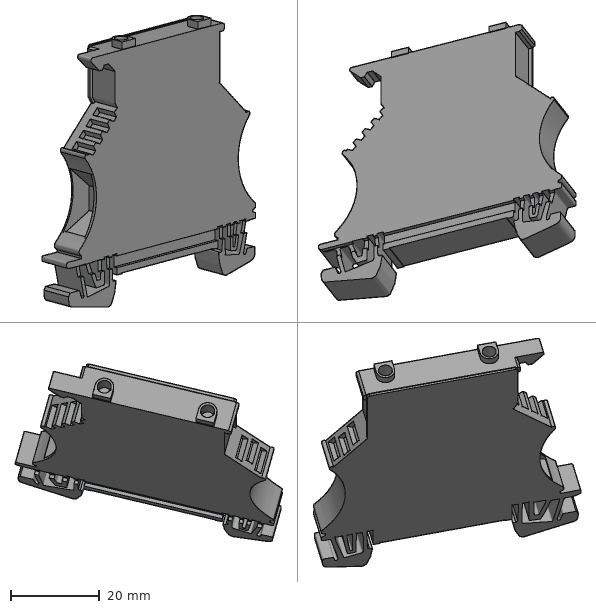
import cadquery as cq
import math


THICKNESS = 7.9
TOTAL_LENGTH = 60.0
TOTAL_HEIGHT = 60.94
SIDES = (1, -1)

COVER_THICKNESS = 0.7
COVER_HALF_WIDTH = 17.4
COVER_TOP = 59.4
TOP_CORNER = 0.5
CORE_INSET = 0.8
CORE_HALF_WIDTH = COVER_HALF_WIDTH - CORE_INSET
CORE_TOP = 59.2
SHOULDER_SUM = 61.95
SHOULDER_END = 25.2
FRONT_SHOULDER_START = 16.35
COVER_UNDERCUT_TOP = 47.4
CORE_UNDERCUT_TOP = 47.1
UNDERCUT_ROUNDING = 0.8
CORE_UNDERCUT_ROOT = (-15.8, 45.95)
BEAD_WIDTH = 0.9
BEAD_RISE = 0.25
BEAD_RADIUS = 0.53

LIP_HALF_WIDTH = 18.15
LIP_BOTTOM = 57.3
LIP_CHAMFER_Y = 0.6
LIP_CHAMFER_Z = 0.4

RECESS_RADIUS = 14.6
RECESS_DEEPEST = 22.5
RECESS_Z = 26.5
RECESS_DIAGONAL = RECESS_RADIUS * math.sqrt(0.5)
FLANK_FOOT_Y = RECESS_DEEPEST + RECESS_RADIUS - RECESS_DIAGONAL
FLANK_FOOT_Z = RECESS_Z - RECESS_DIAGONAL
FLANK_LIP_Y = 28.0
FLANK_LIP_ROUNDING = 0.6
FLANK_LIP_Z = FLANK_FOOT_Y + FLANK_FOOT_Z - FLANK_LIP_Y

BASE_HALF_WIDTH = 16.05
BASE_Z = 7.1
PAD_Z = 6.9
PAD_WIDTH = 1.6
CLIP_TIP_Z = -0.03
CLIP_ROOT_Z = 11.9

FACE_GROOVE_DEPTH = 0.9
FACE_GROOVE_BOTTOM = 8.65
FACE_GROOVE_TOP = 11.4

POST_Y = 12.0
POST_X = 5.2
POST_RADIUS = 2.1
POST_FLAT_X = 7.65
POST_HOLE_RADIUS = 1.55
POST_HOLE_DEPTH = 4.0

LEVER_X = 3.65
LEVER_OVERLAP = 1.0

GRIP_WIDTH = 2.0
GRIP_FLOOR = 1.2
GRIP_DEPTH = 1.35
GRIP_OVERCUT = 0.3
FRONT_GRIP_X = (2.5, THICKNESS)
FRONT_GRIP_FIRST_Z = 37.8
FRONT_GRIP_PITCH = 2.2
FRONT_GRIP_COUNT = 4
BACK_GRIPS = (
    (24.1, 1.35, 7.0),
    (21.95, 0.75, 6.1),
    (19.7, 1.35, 7.0),
)

POCKET_MOUTH_Y = -25.5
POCKET_BACK_Y = -17.4
POCKET_MOUTH_X = (0.45, 7.3)
POCKET_MOUTH_Z = (16.9, 33.55)
POCKET_BACK_X = (0.45, 6.7)
POCKET_BACK_Z = (20.8, 26.6)


def outline(points):
    """Closed YZ wire through (y, z) or (y, z, radius) corners; a radius rounds that corner."""
    path = []
    count = len(points)
    for i, corner in enumerate(points):
        here = cq.Vector(*corner[:2])
        if len(corner) == 2:
            path.append((here,))
            continue
        to_prev = (cq.Vector(*points[i - 1][:2]) - here).normalized()
        to_next = (cq.Vector(*points[(i + 1) % count][:2]) - here).normalized()
        half_angle = to_prev.getAngle(to_next) / 2
        radius = corner[2]
        setback = radius / math.tan(half_angle)
        bisector = (to_prev + to_next).normalized()
        middle = here + bisector * (radius / math.sin(half_angle) - radius)
        path.append((here + to_prev * setback, middle, here + to_next * setback))

    wire = cq.Workplane("YZ").moveTo(*path[0][-1].toTuple()[:2])
    for step in path[1:] + path[:1]:
        wire = wire.lineTo(*step[0].toTuple()[:2])
        if len(step) == 3:
            wire = wire.threePointArc(step[1].toTuple()[:2], step[2].toTuple()[:2])
    return wire.close()


def slab(points, x_start=0.0, x_end=THICKNESS):
    """Extrude an outline from x_start to x_end."""
    return outline(points).extrude(x_end - x_start).translate((x_start, 0, 0))


def box(x_range, y_range, z_range):
    """Axis-aligned box from three (low, high) ranges."""
    sizes = [high - low for low, high in (x_range, y_range, z_range)]
    corner = (x_range[0], y_range[0], z_range[0])
    return cq.Workplane("XY").box(*sizes, centered=False).translate(corner)


def bead_and_flank(side):
    """Shoulder end bead, flank and lower flank slope, listed downwards."""
    bead_z = SHOULDER_SUM - SHOULDER_END
    return [
        (side * SHOULDER_END, bead_z),
        (side * (SHOULDER_END + BEAD_RISE), bead_z + BEAD_RISE, BEAD_RADIUS / 2),
        (side * (SHOULDER_END + BEAD_WIDTH), bead_z + BEAD_RISE, BEAD_RADIUS),
        (side * FLANK_FOOT_Y, FLANK_FOOT_Z),
        (side * FLANK_LIP_Y, FLANK_LIP_Z, FLANK_LIP_ROUNDING),
    ]


def back_clip():
    """Outer edge of the +Y side from the flank lip down round the clip to the base."""
    return [
        (FLANK_LIP_Y, 14.1, 0.4), (27.1, 13.6), (27.1, 13.2),
        (FLANK_LIP_Y, 12.8, 0.2), (FLANK_LIP_Y, 11.5, 0.4), (25.9, 11.5, 0.5),
        (24.2, 4.4), (24.2, 3.7, 0.3), (24.9, 3.8, 0.3), (25.25, 5.0, 0.1),
        (27.75, 5.0, 0.4), (27.75, 2.3, 1.5), (26.1, 1.75), (18.5, CLIP_TIP_Z, 0.6),
        (17.6, 0.5, 0.5), (16.65, 2.9, 2.0), (16.2, 5.7, 0.1), (16.9, 5.7),
        (17.35, 6.1), (17.5, CLIP_ROOT_Z), (BASE_HALF_WIDTH, CLIP_ROOT_Z),
    ]


def front_clip():
    """Outer edge of the -Y side from the flank lip down round the clip to the base."""
    return [
        (-FLANK_LIP_Y, 14.2, 0.4), (-27.2, 13.5), (-27.2, 12.95),
        (-32.0, 12.95, 0.5), (-32.0, 11.75, 0.5), (-30.5, 11.1, 0.5), (-28.1, 11.1, 0.4),
        (-26.5, 4.0), (-26.7, 3.65, 0.15), (-27.15, 3.7, 0.2), (-27.9, 5.65, 0.2),
        (-30.85, 5.65), (-31.35, 4.85), (-31.35, 4.2), (-31.1, 2.4, 1.2), (-29.6, 2.1),
        (-18.7, CLIP_TIP_Z, 0.6),
        (-17.8, 0.4, 0.5), (-16.7, 2.9, 2.0), (-16.25, 5.7, 0.1), (-16.9, 5.65),
        (-17.35, 6.1), (-17.6, CLIP_ROOT_Z, 0.4), (-BASE_HALF_WIDTH, CLIP_ROOT_Z),
    ]


def base_edge():
    """Underside of the housing between the clips, with a low pad at each end."""
    pad_end = BASE_HALF_WIDTH - PAD_WIDTH
    return [
        (BASE_HALF_WIDTH, PAD_Z, 0.15), (pad_end, PAD_Z), (pad_end, BASE_Z),
        (-pad_end, BASE_Z), (-pad_end, PAD_Z), (-BASE_HALF_WIDTH, PAD_Z, 0.15),
    ]


def housing_outline(half_width, top, undercut):
    """Full outer edge for an upper block of given width and height and its -Y undercut, listed upwards."""
    return (
        [(half_width - TOP_CORNER, top), (half_width, top - TOP_CORNER)]
        + [(half_width, SHOULDER_SUM - half_width)]
        + bead_and_flank(1) + back_clip() + base_edge()
        + list(reversed(bead_and_flank(-1) + front_clip()))
        + [(-FRONT_SHOULDER_START, SHOULDER_SUM - FRONT_SHOULDER_START)]
        + undercut
        + [(-half_width, top - TOP_CORNER), (TOP_CORNER - half_width, top)]
    )


def cover():
    """Raised cover plate on the -X face."""
    undercut = [(-COVER_HALF_WIDTH, COVER_UNDERCUT_TOP, UNDERCUT_ROUNDING)]
    return slab(housing_outline(COVER_HALF_WIDTH, COVER_TOP, undercut), 0.0, COVER_THICKNESS)


def core():
    """Main housing behind the cover plate."""
    undercut = [CORE_UNDERCUT_ROOT, (-CORE_HALF_WIDTH, CORE_UNDERCUT_TOP, UNDERCUT_ROUNDING)]
    return slab(housing_outline(CORE_HALF_WIDTH, CORE_TOP, undercut), COVER_THICKNESS)


def lip():
    """Rim overhanging both end walls at the top of the core."""
    edge = LIP_HALF_WIDTH - LIP_CHAMFER_Y
    points = [
        (edge, CORE_TOP), (LIP_HALF_WIDTH, CORE_TOP - LIP_CHAMFER_Z),
        (LIP_HALF_WIDTH, LIP_BOTTOM + LIP_CHAMFER_Z), (edge, LIP_BOTTOM),
    ]
    mirrored = [(-y, z) for y, z in reversed(points)]
    return slab(points + mirrored, COVER_THICKNESS)


def lever():
    """Hooked marker lever reaching out over the -Y shoulder."""
    root_y = LEVER_OVERLAP - CORE_HALF_WIDTH
    points = [
        (root_y, CORE_TOP), (-24.3, CORE_TOP, 0.6), (-24.3, 58.4, 0.4),
        (-21.55, 55.7), (-20.65, 55.7), (-19.95, 56.75), (-18.65, 56.75),
        (-CORE_HALF_WIDTH, 54.6), (root_y, 54.6),
    ]
    return slab(points, LEVER_X)


def post(y):
    """D-shaped screw post: round towards -X, flat towards +X."""
    height = TOTAL_HEIGHT - CORE_TOP
    return (
        cq.Workplane("XY", origin=(POST_X, y, CORE_TOP))
        .moveTo(0, POST_RADIUS)
        .threePointArc((-POST_RADIUS, 0), (0, -POST_RADIUS))
        .lineTo(POST_FLAT_X - POST_X, -POST_RADIUS)
        .lineTo(POST_FLAT_X - POST_X, POST_RADIUS)
        .close()
        .extrude(height)
    )


def post_hole(y):
    """Blind screw hole down from the top of a post."""
    bottom = cq.Workplane("XY", origin=(POST_X, y, TOTAL_HEIGHT - POST_HOLE_DEPTH))
    return bottom.circle(POST_HOLE_RADIUS).extrude(POST_HOLE_DEPTH)


def thumb_recess(side):
    """Cylinder that hollows one flank."""
    centre_y = side * (RECESS_DEEPEST + RECESS_RADIUS)
    return cq.Workplane("YZ").center(centre_y, RECESS_Z).circle(RECESS_RADIUS).extrude(THICKNESS)


def grip_groove(y, x_start, x_end):
    """Tapered groove square to the 45 degree shoulder, centred at y on its surface."""
    side = math.copysign(1, y)
    centre_z = SHOULDER_SUM - abs(y)
    diagonal = math.sqrt(0.5)

    def on_shoulder(along, depth):
        return (y + side * (along - depth) * diagonal, centre_z - (along + depth) * diagonal)

    points = [
        on_shoulder(-GRIP_WIDTH / 2, -GRIP_OVERCUT), on_shoulder(-GRIP_WIDTH / 2, 0),
        on_shoulder(-GRIP_FLOOR / 2, GRIP_DEPTH), on_shoulder(GRIP_FLOOR / 2, GRIP_DEPTH),
        on_shoulder(GRIP_WIDTH / 2, 0), on_shoulder(GRIP_WIDTH / 2, -GRIP_OVERCUT),
    ]
    return slab(points, x_start, x_end)


def clip_windows():
    """Through openings that leave the spring struts of both clips."""
    back_u = [
        (24.85, 11.9), (23.1, 11.9), (22.9, 10.5), (22.0, 5.2, 0.6), (20.0, 5.45, 0.3),
        (19.95, 11.9), (18.6, 11.9, 0.3), (18.3, 10.0), (18.35, 4.8, 0.5),
        (22.8, 4.1, 0.4), (24.6, 10.2),
    ]
    back_slit = [(22.2, 11.9, 0.3), (20.85, 11.9, 0.3), (20.85, 6.2, 0.25), (21.4, 6.2, 0.25)]
    front_u = [
        (-18.5, 11.9, 0.2), (-20.0, 11.9), (-20.0, 5.4, 0.3), (-22.6, 5.2, 0.15),
        (-23.6, 7.2), (-25.0, 11.1, 0.5), (-27.15, 11.1, 0.4),
        (-25.4, 3.6, 0.3), (-18.35, 4.85, 0.5), (-18.35, 9.5),
    ]
    front_slit = [(-21.05, 11.5), (-24.1, 11.5, 0.4), (-22.3, 6.9, 0.2), (-21.2, 6.9, 0.2)]
    return [slab(points) for points in (back_u, back_slit, front_u, front_slit)]


def wire_pocket():
    """Funnel into the -Y recess, narrowing to a flat back wall."""

    def section(y, x_range, z_range):
        low_x, high_x = x_range
        low_z, high_z = z_range
        corners = [(low_x, low_z), (high_x, low_z), (high_x, high_z), (low_x, high_z)]
        return cq.Wire.makePolygon([cq.Vector(x, y, z) for x, z in corners], close=True)

    mouth = section(POCKET_MOUTH_Y, POCKET_MOUTH_X, POCKET_MOUTH_Z)
    back = section(POCKET_BACK_Y, POCKET_BACK_X, POCKET_BACK_Z)
    return cq.Workplane(obj=cq.Solid.makeLoft([mouth, back], True))


def face_groove():
    """Rail clearance groove along the +X face."""
    x_range = (THICKNESS - FACE_GROOVE_DEPTH, THICKNESS)
    return box(x_range, (-TOTAL_LENGTH, TOTAL_LENGTH), (FACE_GROOVE_BOTTOM, FACE_GROOVE_TOP))


body = core().union(cover()).union(lip()).union(lever())

for side in SIDES:
    body = body.union(post(side * POST_Y))
    body = body.cut(post_hole(side * POST_Y))
    body = body.cut(thumb_recess(side))

for index in range(FRONT_GRIP_COUNT):
    groove_z = FRONT_GRIP_FIRST_Z + index * FRONT_GRIP_PITCH
    body = body.cut(grip_groove(groove_z - SHOULDER_SUM, *FRONT_GRIP_X))

for groove_y, groove_start, groove_end in BACK_GRIPS:
    body = body.cut(grip_groove(groove_y, groove_start, groove_end))

for window in clip_windows():
    body = body.cut(window)

result = body.cut(wire_pocket()).cut(face_groove())